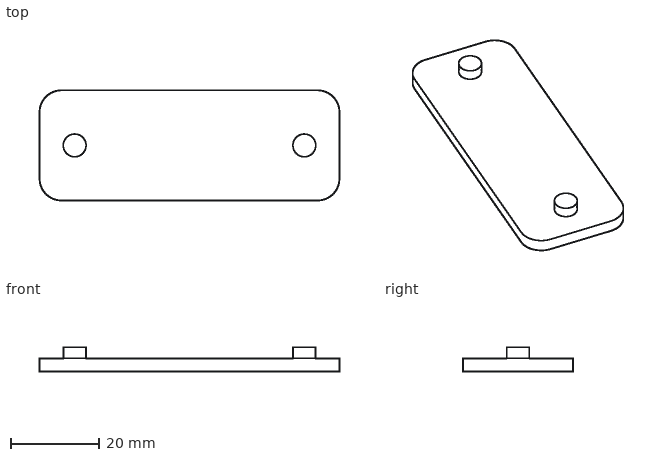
import cadquery as cq

plate_length = 68.0
plate_width = 25.0
plate_thickness = 3.0
corner_radius = 5.0

overall_height = 5.5
peg_diameter = 5.2
peg_spacing = 52.0
peg_height = overall_height - plate_thickness

plate = (
    cq.Workplane("XY")
    .box(plate_length, plate_width, plate_thickness, centered=(True, True, False))
    .edges("|Z")
    .fillet(corner_radius)
)

result = (
    plate.faces(">Z")
    .workplane()
    .pushPoints([(-peg_spacing / 2, 0), (peg_spacing / 2, 0)])
    .circle(peg_diameter / 2)
    .extrude(peg_height)
)